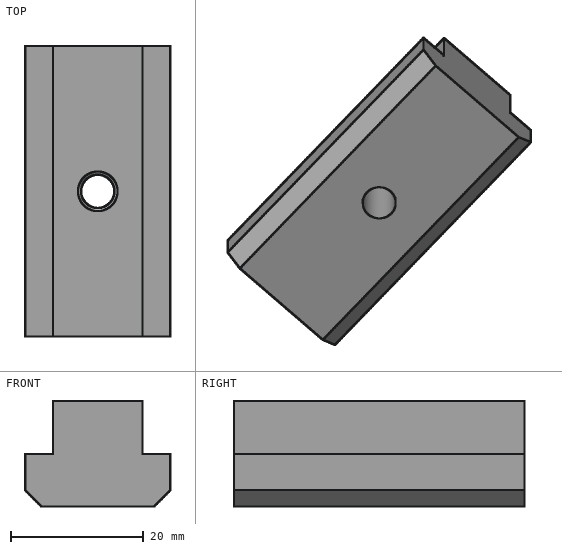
import cadquery as cq

base_width = 22.0
length = 44.0
height = 16.0

neck_width = 13.6
base_height = 8.0
edge_chamfer = 2.5

hole_diameter = 5.0
lead_in_diameter = 6.0
lead_in_angle = 120.0


def make_body():
    """Neck centred on a wider base whose lower long edges are chamfered."""
    base = (
        cq.Workplane("XY")
        .box(base_width, length, base_height, centered=(True, True, False))
        .faces("<Z")
        .edges("|Y")
        .chamfer(edge_chamfer)
    )
    neck = cq.Workplane("XY").box(neck_width, length, height, centered=(True, True, False))
    return base.union(neck)


def cut_hole(body):
    """Vertical through hole in the middle of the top face, countersunk at the top."""
    top_face = body.faces(">Z").workplane(origin=(0, 0, height))
    return top_face.cskHole(hole_diameter, lead_in_diameter, lead_in_angle)


result = cut_hole(make_body())